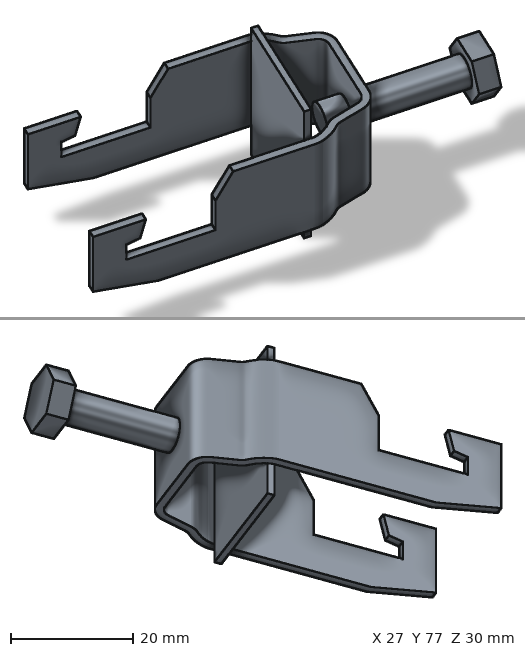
import cadquery as cq
import math


strip_thickness = 1.5
bracket_width = 27.0
bracket_height = 20.0
bracket_depth = 53.0

web_angle = 90.0
neck_angle = 15.0
flare_angle = 45.0
shoulder_angle = 18.0
leg_angle = 0.0

corner_radius = 3.5
flare_radius = 2.1
shoulder_radius = 8.2
leg_radius = 5.3
neck_length = 4.8

half_height = bracket_height / 2
slope_start = 27.8
slope_height = 5.5
slope_angle = 60.0
slope_run = slope_height / math.tan(math.radians(slope_angle))
slot_floor = -2.5
slot_end = 47.0
hook_top = 5.5
hook_tip = 43.5
barb_height = 4.0
barb_angle = 14.0
barb_run = barb_height * math.tan(math.radians(barb_angle))
barb_underside = 1.0
toe_run = 11.75
toe_angle = 12.0
toe_rise = toe_run * math.tan(math.radians(toe_angle))

screw_diameter = 6.0
head_sides = 6
head_across_flats = 10.0
head_thickness = 4.0
screw_back = 24.0
screw_tip = -6.0

plate_width = 20.8
plate_height = 30.0
plate_thickness = 1.25
plate_back = -12.35


def bend_offset(start_angle, end_angle, radius):
    """X and Y travel along a bend that takes the strip from one angle to another.

    The radius is positive for bends centred inside the bracket and negative
    for the bend centred outside it.
    """
    start = math.radians(start_angle)
    end = math.radians(end_angle)
    dx = radius * (math.cos(end) - math.cos(start))
    dy = radius * (math.sin(end) - math.sin(start))
    return dx, dy


def add_stretch(sketch, stretch):
    """Extend a sketch by an arc (middle and end point) or a line (end point)."""
    if len(stretch) == 2:
        return sketch.threePointArc(*stretch)
    return sketch.lineTo(*stretch[0])


def strip_face(depth):
    """Stretches of one strip face, from web to leg, at a depth below the outer face.

    Each stretch is a list of points: one end point for a straight stretch,
    a middle and an end point for an arc.
    """
    bends = [
        (web_angle, neck_angle, corner_radius, neck_length),
        (neck_angle, flare_angle, -flare_radius, 0),
        (flare_angle, shoulder_angle, shoulder_radius, 0),
        (shoulder_angle, leg_angle, leg_radius, 0),
    ]
    bend_run = sum(bend_offset(start, end, radius)[0] for start, end, radius, _ in bends)
    neck_run = neck_length * math.sin(math.radians(neck_angle))
    web_half_flat = bracket_width / 2 - bend_run - neck_run

    x, y = web_half_flat, -depth
    stretches = [[(0, y)], [(x, y)]]
    for start, end, outer_radius, straight in bends:
        radius = outer_radius - depth
        middle_dx, middle_dy = bend_offset(start, (start + end) / 2, radius)
        dx, dy = bend_offset(start, end, radius)
        stretches.append([(x + middle_dx, y + middle_dy), (x + dx, y + dy)])
        x, y = x + dx, y + dy
        if straight:
            x += straight * math.sin(math.radians(end))
            y -= straight * math.cos(math.radians(end))
            stretches.append([(x, y)])
    stretches.append([(x, -bracket_depth)])
    return stretches


def make_half_strip():
    """The +X half of the bent strip, at full height."""
    outer = strip_face(0)
    inner = strip_face(strip_thickness)
    sketch = cq.Workplane("XY", origin=(0, 0, -half_height)).moveTo(*outer[0][0])
    for stretch in outer[1:]:
        sketch = add_stretch(sketch, stretch)
    sketch = sketch.lineTo(*inner[-1][-1])
    for before, stretch in zip(inner[-2::-1], inner[:0:-1]):
        sketch = add_stretch(sketch, [*stretch[:-1], before[-1]])
    return sketch.close().extrude(bracket_height)


def make_leg_outline():
    """Side outline of the bracket with slot and hook, through the full width."""
    outline = [
        (0, -half_height),
        (0, half_height),
        (-slope_start, half_height),
        (-slope_start - slope_run, half_height - slope_height),
        (-slope_start - slope_run, slot_floor),
        (-slot_end, slot_floor),
        (-slot_end, barb_underside),
        (-hook_tip - barb_run, hook_top - barb_height),
        (-hook_tip, hook_top),
        (-bracket_depth, hook_top),
        (-bracket_depth, -half_height + toe_rise),
        (-bracket_depth + toe_run, -half_height),
    ]
    return cq.Workplane("YZ").polyline(outline).close().extrude(bracket_width / 2, both=True)


def cylinder_along_y(diameter, back, front):
    """Cylinder on the screw axis between two Y positions."""
    return cq.Workplane("XZ", origin=(0, back, 0)).circle(diameter / 2).extrude(back - front)


def make_bracket():
    half = make_half_strip()
    strip = half.union(half.mirror("YZ")).clean()
    hole = cylinder_along_y(screw_diameter, 0, -strip_thickness)
    return strip.intersect(make_leg_outline()).cut(hole)


def make_screw():
    across_corners = head_across_flats / math.cos(math.radians(180 / head_sides))
    head = (
        cq.Workplane("XZ", origin=(0, screw_back, 0))
        .polygon(head_sides, across_corners)
        .extrude(head_thickness)
    )
    shank = cylinder_along_y(screw_diameter, screw_back - head_thickness, screw_tip)
    return head.union(shank)


def make_plate():
    return (
        cq.Workplane("XZ", origin=(0, plate_back, 0))
        .rect(plate_width, plate_height)
        .extrude(plate_thickness)
    )


bracket = make_bracket()
screw = make_screw()
plate = make_plate()

result = cq.Compound.makeCompound([*bracket.solids().vals(), *screw.solids().vals(), plate.val()])